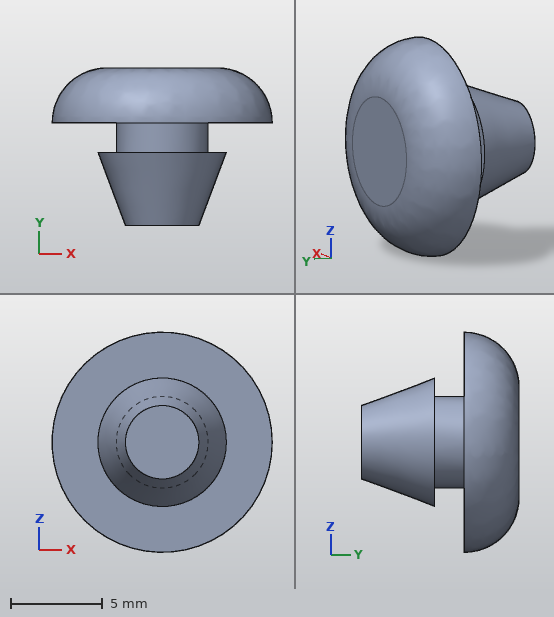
import cadquery as cq
import math

head_diameter = 12.0
head_height = 3.0
neck_diameter = 5.0
neck_length = 1.6
barb_diameter = 7.0
tip_diameter = 4.0
barb_length = 4.0

head_radius = head_diameter / 2
neck_radius = neck_diameter / 2
barb_radius = barb_diameter / 2
tip_radius = tip_diameter / 2

barb_y = -neck_length
tip_y = barb_y - barb_length

crown_radius = head_radius - head_height
rim_offset = head_height * math.sqrt(0.5)
rim_midpoint = (crown_radius + rim_offset, rim_offset)


def half_profile():
    """Closed outline of one half of the plug, with X as radius and Y as axis."""
    return (
        cq.Workplane("XY")
        .moveTo(0, head_height)
        .lineTo(crown_radius, head_height)
        .threePointArc(rim_midpoint, (head_radius, 0))
        .lineTo(neck_radius, 0)
        .lineTo(neck_radius, barb_y)
        .lineTo(barb_radius, barb_y)
        .lineTo(tip_radius, tip_y)
        .lineTo(0, tip_y)
        .close()
    )


result = half_profile().revolve(360, (0, 0, 0), (0, 1, 0))